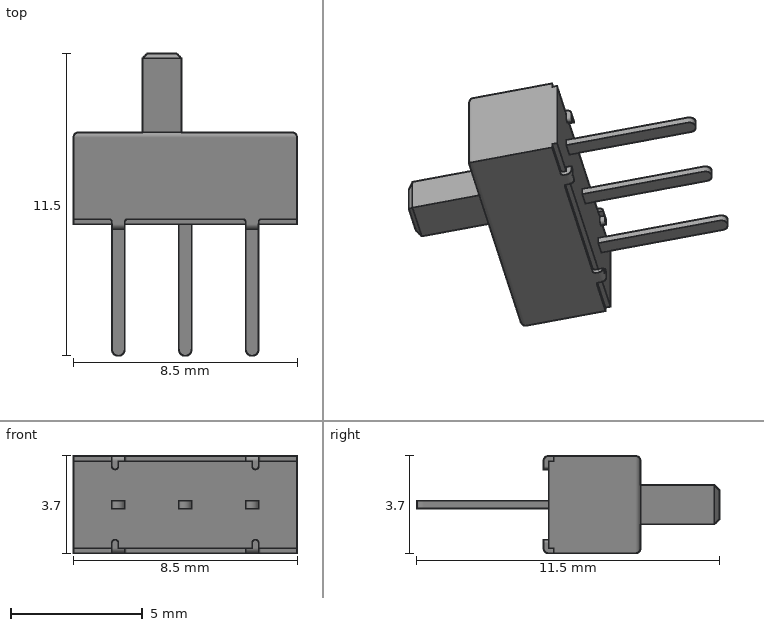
import cadquery as cq

total_length = 11.5

body_width = 8.5
body_depth = 3.5
body_height = 3.7
back_radius = 0.2
body_front = -body_depth / 2
body_back = body_depth / 2

sheet = 0.2
tab_width = 0.5
tab_corner_radius = 0.1
finger_width = tab_width / 2
finger_reach = 0.52

pin_pitch = 2.54
pin_width = 0.5
pin_thickness = 0.3
pin_length = 5.0

knob_size = 1.5
knob_length = total_length - body_depth - pin_length
knob_offset = -0.89
knob_chamfer = 0.2


def box(x_min, x_max, y_min, y_max, z_min, z_max):
    """Axis-aligned box between the given limits."""
    size = (x_max - x_min, y_max - y_min, z_max - z_min)
    return cq.Workplane("XY").box(*size, centered=False).translate((x_min, y_min, z_min))


def make_body():
    """Housing with a rounded back rim and a step along its upper and lower front edges."""
    body = cq.Workplane("XY").box(body_width, body_depth, body_height)
    body = body.faces(">Y").edges().fillet(back_radius)
    half_width = body_width / 2
    top = body_height / 2
    step = box(-half_width, half_width, body_front, body_front + sheet, top - sheet, top)
    return body.cut(step).cut(step.mirror("XY"))


def make_upper_tab(side):
    """Bent cover tab at the top; side is -1 for the left tab and +1 for the right one."""
    top = body_height / 2
    half_tab = tab_width / 2
    x_center = side * pin_pitch
    tab_front = body_front - sheet
    step_back = body_front + sheet

    flare = half_tab + tab_corner_radius
    strip = (
        cq.Workplane("XY", origin=(x_center, 0, top - sheet))
        .moveTo(-flare, step_back)
        .radiusArc((-half_tab, step_back - tab_corner_radius), tab_corner_radius)
        .lineTo(-half_tab, tab_front)
        .lineTo(half_tab, tab_front)
        .lineTo(half_tab, step_back - tab_corner_radius)
        .radiusArc((flare, step_back), tab_corner_radius)
        .close()
        .extrude(sheet)
    )
    bend = (
        cq.Workplane("YZ", origin=(x_center - half_tab, body_front, top - sheet))
        .circle(sheet)
        .extrude(tab_width)
    )
    bend_corner = box(
        x_center - half_tab, x_center + half_tab, tab_front, body_front, top - sheet, top
    )
    strip = strip.cut(bend_corner.cut(bend))

    finger_radius = finger_width / 2
    finger_center = x_center + side * finger_radius
    finger_end = top - finger_reach
    finger = box(
        finger_center - finger_radius,
        finger_center + finger_radius,
        tab_front,
        body_front,
        finger_end + finger_radius,
        top - sheet,
    )
    tip = (
        cq.Workplane("XZ", origin=(finger_center, body_front, finger_end + finger_radius))
        .circle(finger_radius)
        .extrude(sheet)
    )
    return strip.union(finger).union(tip)


def make_pin(x_center):
    """Flat terminal with a full-round tip."""
    radius = pin_width / 2
    straight_end = body_front - pin_length + radius
    return (
        cq.Workplane("XY", origin=(x_center, 0, -pin_thickness / 2))
        .moveTo(-radius, body_front)
        .lineTo(-radius, straight_end)
        .threePointArc((0, straight_end - radius), (radius, straight_end))
        .lineTo(radius, body_front)
        .close()
        .extrude(pin_thickness)
    )


def make_knob():
    """Square slider knob with a chamfered end."""
    half = knob_size / 2
    knob = box(
        knob_offset - half, knob_offset + half, body_back, body_back + knob_length, -half, half
    )
    return knob.faces(">Y").edges().chamfer(knob_chamfer)


result = make_body().union(make_knob())
for position in (-1, 0, 1):
    result = result.union(make_pin(position * pin_pitch))
for side in (-1, 1):
    upper_tab = make_upper_tab(side)
    result = result.union(upper_tab).union(upper_tab.mirror("XY"))